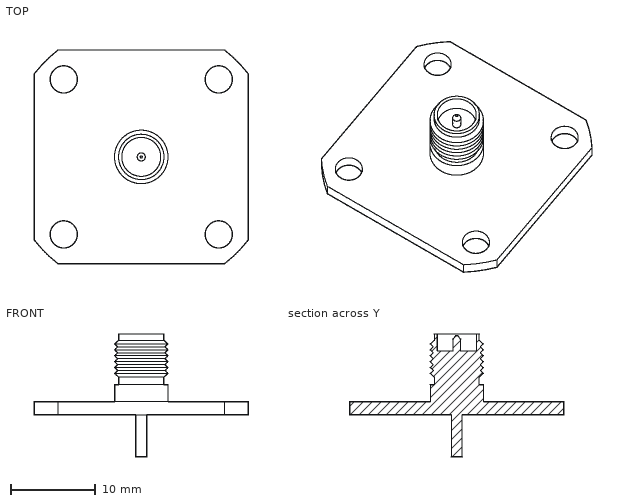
import cadquery as cq
import math

plate_side = 25.4
plate_thickness = 1.57
corner_circle_radius = 16.08
hole_spacing = 18.4
hole_diameter = 3.2

rear_pin_length = 5.0
rear_pin_radius = 0.65

overall_height = 14.6
collar_height = 2.0
collar_radius = 3.18
barrel_radius = 2.7

ridge_count = 6
crest_span = 3.5
ridge_pitch = crest_span / (ridge_count - 1)
ridge_crest_radius = collar_radius
ridge_root_radius = 2.82
thread_length = 4.37
plain_tip_length = 0.75

socket_radius = 2.3
socket_depth = 2.0
contact_radius = 0.48
contact_recess = 0.2
contact_tip_radius = 0.13
contact_taper_length = 0.43

plate_top = rear_pin_length + plate_thickness
collar_top = plate_top + collar_height
thread_top = overall_height - plain_tip_length
thread_bottom = thread_top - thread_length
socket_floor = overall_height - socket_depth


def make_plate():
    """Square plate with its corners trimmed by a circle about the centre, and four through holes."""
    half_side = plate_side / 2
    flat_half = math.sqrt(corner_circle_radius**2 - half_side**2)
    diagonal = corner_circle_radius * math.sqrt(0.5)
    return (
        cq.Workplane("XY", origin=(0, 0, rear_pin_length))
        .moveTo(-flat_half, -half_side)
        .lineTo(flat_half, -half_side)
        .threePointArc((diagonal, -diagonal), (half_side, -flat_half))
        .lineTo(half_side, flat_half)
        .threePointArc((diagonal, diagonal), (flat_half, half_side))
        .lineTo(-flat_half, half_side)
        .threePointArc((-diagonal, diagonal), (-half_side, flat_half))
        .lineTo(-half_side, -flat_half)
        .threePointArc((-diagonal, -diagonal), (-flat_half, -half_side))
        .close()
        .extrude(plate_thickness)
        .faces(">Z")
        .workplane(origin=(0, 0, plate_top))
        .rect(hole_spacing, hole_spacing, forConstruction=True)
        .vertices()
        .hole(hole_diameter)
    )


def make_barrel():
    """Revolved collar and ridged barrel with an open socket at the top."""
    first_crest = (thread_bottom + thread_top - crest_span) / 2
    profile = [
        (0, plate_top),
        (collar_radius, plate_top),
        (collar_radius, collar_top),
        (barrel_radius, collar_top),
        (barrel_radius, thread_bottom),
    ]
    for index in range(ridge_count):
        crest_height = first_crest + index * ridge_pitch
        if index > 0:
            profile.append((ridge_root_radius, crest_height - ridge_pitch / 2))
        profile.append((ridge_crest_radius, crest_height))
    profile += [
        (barrel_radius, thread_top),
        (barrel_radius, overall_height),
        (socket_radius, overall_height),
        (socket_radius, socket_floor),
        (0, socket_floor),
    ]
    return cq.Workplane("XZ").polyline(profile).close().revolve(360, (0, 0), (0, 1))


def make_contact():
    """Contact pin with a blunt conical tip, standing on the socket floor."""
    tip = overall_height - contact_recess
    shoulder = tip - contact_taper_length
    return (
        cq.Workplane("XZ")
        .moveTo(0, socket_floor)
        .lineTo(contact_radius, socket_floor)
        .lineTo(contact_radius, shoulder)
        .lineTo(contact_tip_radius, tip)
        .lineTo(0, tip)
        .close()
        .revolve(360, (0, 0), (0, 1))
    )


rear_pin = cq.Workplane("XY").circle(rear_pin_radius).extrude(rear_pin_length)

result = make_plate().union(make_barrel()).union(make_contact()).union(rear_pin)